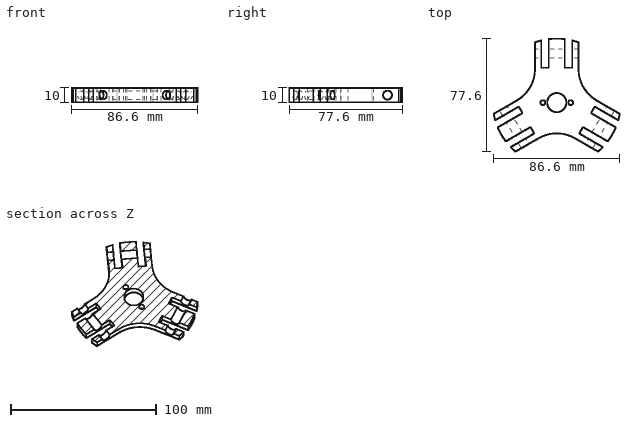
import cadquery as cq
import math

THICKNESS = 10.0
OVERALL_WIDTH = 86.6
ARM_WIDTH = 30.0
ARM_COUNT = 3
CROTCH_RADIUS = 24.95
TONGUE_WIDTH = 11.2
SLOT_OUTER_WIDTH = 21.1
SLOT_START = 24.0
PIN_DIAMETER = 6.0
PIN_DISTANCE = 33.8
BORE_DIAMETER = 13.0
SCREW_DIAMETER = 3.2
SCREW_SPACING = 19.1
PICK_MARGIN = 0.9

ARM_STEP = 360 / ARM_COUNT
ARM_TILT = math.radians(ARM_STEP - 90)
CORNER_REACH = (OVERALL_WIDTH / 2 - ARM_WIDTH / 2 * math.sin(ARM_TILT)) / math.cos(ARM_TILT)
TIP_RADIUS = math.hypot(CORNER_REACH, ARM_WIDTH / 2)
MID_HEIGHT = THICKNESS / 2
SLOT_WIDTH = (SLOT_OUTER_WIDTH - TONGUE_WIDTH) / 2
SLOT_OFFSET = (SLOT_OUTER_WIDTH + TONGUE_WIDTH) / 4
SLOT_LENGTH = TIP_RADIUS - SLOT_START
CROTCH_DISTANCE = ARM_WIDTH / 2 / math.sin(math.radians(ARM_STEP / 2))


def around_arms(shape):
    """Combine copies of a shape made for the +Y arm, one for each arm."""
    combined = shape
    for index in range(1, ARM_COUNT):
        combined = combined.union(shape.rotate((0, 0, 0), (0, 0, 1), index * ARM_STEP))
    return combined


def make_body():
    """Three-armed plate with blended crotches and rounded tips."""
    arm = cq.Workplane("XY").box(ARM_WIDTH, TIP_RADIUS, THICKNESS, centered=(True, False, False))
    star = around_arms(arm).clean()
    reach = CROTCH_DISTANCE + PICK_MARGIN
    crotch_edges = cq.selectors.BoxSelector((-reach, -reach, 0), (reach, reach, THICKNESS))
    star = star.edges("|Z").edges(crotch_edges).fillet(CROTCH_RADIUS)
    tip_disc = cq.Workplane("XY").circle(TIP_RADIUS).extrude(THICKNESS)
    return star.intersect(tip_disc)


def make_arm_cuts():
    """Two open slots and the cross pin hole of the +Y arm."""
    slots = (
        cq.Workplane("XY")
        .pushPoints([(side * SLOT_OFFSET, SLOT_START + SLOT_LENGTH / 2) for side in (-1, 1)])
        .rect(SLOT_WIDTH, SLOT_LENGTH)
        .extrude(THICKNESS)
    )
    pin = (
        cq.Workplane("YZ")
        .center(PIN_DISTANCE, MID_HEIGHT)
        .circle(PIN_DIAMETER / 2)
        .extrude(ARM_WIDTH / 2, both=True)
    )
    return slots.union(pin)


def make_hub_holes():
    """Central bore with a screw hole on either side along X."""
    bore = cq.Workplane("XY").circle(BORE_DIAMETER / 2).extrude(THICKNESS)
    screws = (
        cq.Workplane("XY")
        .pushPoints([(-SCREW_SPACING / 2, 0), (SCREW_SPACING / 2, 0)])
        .circle(SCREW_DIAMETER / 2)
        .extrude(THICKNESS)
    )
    return bore.union(screws)


result = make_body().cut(around_arms(make_arm_cuts())).cut(make_hub_holes())